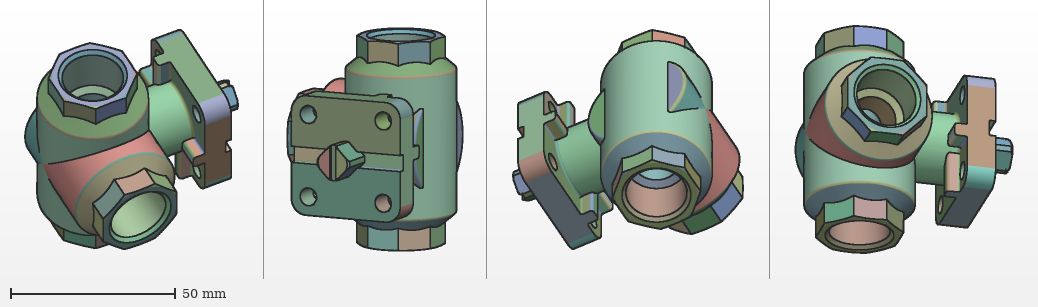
import cadquery as cq
import math

barrel_radius = 17.0
main_half_length = 32.25
branch_length = 32.5
boss_length = 13.0
boss_edge_radius = 1.0
shoulder_start = 22.2
shoulder_angle = 40.0
shoulder_edge_radius = 1.0

octagon_sides = 8
octagon_flats = 25.0
octagon_corner_chamfer = 0.3

bore_diameter = 14.1
thread_diameter = 18.63
thread_depth = 15.0
mouth_diameter = 21.0
drill_half_angle = 59.0

neck_diameter = 22.0
neck_fillet = 0.8
flange_front = 29.0
flange_thickness = 9.0
flange_back = flange_front + flange_thickness
flange_width = 37.0
flange_corner_radius = 5.0
bolt_circle = 36.0
bolt_hole_diameter = 5.5
flange_slot_width = 5.0
flange_slot_depth = 2.0
flange_slot_corner_radius = 0.4

rib_height = 4.0
rib_width = 4.1
rib_tip_radius = 1.0
rib_foot_radius = 0.65
side_rib_offset = 1.7
upright_rib_offset = 7.5
rib_inner_end = 5.5

stem_length = 9.0
stem_square = 9.0
stem_diameter = 11.0
stem_end_chamfer = 0.6
stem_slot_width = 2.0
stem_slot_depth = 1.1

UP = (0, 0, 1)
RIGHT = (1, 0, 0)
DOWN = (0, 0, -1)
BACK = (0, 1, 0)

ports = [
    (UP, main_half_length),
    (DOWN, main_half_length),
    (RIGHT, branch_length),
]


def axis_plane(axis, start=0.0):
    """Plane normal to an axis, placed at a distance along it from the origin."""
    origin = tuple(start * component for component in axis)
    x_direction = UP if axis[0] else RIGHT
    return cq.Plane(origin=origin, xDir=x_direction, normal=axis)


def cylinder(axis, start, end, diameter):
    return cq.Workplane(axis_plane(axis, start)).circle(diameter / 2).extrude(end - start)


def shouldered_barrel(axis):
    """Cylinder from the origin that ends in a cone with a rounded shoulder."""
    cone_end_radius = mouth_diameter / 2
    cone_height = (barrel_radius - cone_end_radius) * math.tan(math.radians(shoulder_angle))
    cone_end = shoulder_start + cone_height
    profile = [
        (0, 0),
        (barrel_radius, 0),
        (barrel_radius, shoulder_start),
        (cone_end_radius, cone_end),
        (0, cone_end),
    ]
    barrel = cq.Workplane("XZ").polyline(profile).close().revolve(360, (0, 0), (0, 1))
    at_shoulder = cq.selectors.NearestToPointSelector((0, 0, shoulder_start))
    barrel = barrel.edges(at_shoulder).fillet(shoulder_edge_radius)
    return barrel.val().moved(cq.Location(axis_plane(axis)))


def octagon_end(axis, length):
    """Octagonal bar with its end corners turned down by a shallow cone."""
    corner_diameter = octagon_flats / math.cos(math.pi / octagon_sides)
    bar = (
        cq.Workplane(axis_plane(axis))
        .transformed(rotate=(0, 0, 180 / octagon_sides))
        .polygon(octagon_sides, corner_diameter)
        .extrude(length)
    )
    chamfer_width = (corner_diameter - octagon_flats) / 2
    turned = (
        cylinder(axis, 0, length, corner_diameter)
        .faces(cq.selectors.DirectionMinMaxSelector(cq.Vector(*axis), True))
        .edges()
        .chamfer(octagon_corner_chamfer, chamfer_width)
    )
    return bar.intersect(turned)


def port_cutter(axis, end):
    """Through bore to the origin, threaded counterbore and countersunk mouth."""
    bore_radius = bore_diameter / 2
    thread_radius = thread_diameter / 2
    mouth_radius = mouth_diameter / 2
    thread_end = end - thread_depth
    drill_tip = (thread_radius - bore_radius) / math.tan(math.radians(drill_half_angle))
    profile = [
        (0, 0),
        (bore_radius, 0),
        (bore_radius, thread_end - drill_tip),
        (thread_radius, thread_end),
        (thread_radius, end - (mouth_radius - thread_radius)),
        (mouth_radius, end),
        (0, end),
    ]
    cutter = cq.Workplane("XZ").polyline(profile).close().revolve(360, (0, 0), (0, 1))
    return cutter.val().moved(cq.Location(axis_plane(axis)))


def make_body():
    boss = cylinder(RIGHT, -boss_length, 0, 2 * barrel_radius)
    body = boss.faces("<X").edges().fillet(boss_edge_radius)
    for axis, length in ports:
        body = body.union(cq.Workplane(shouldered_barrel(axis)))
        body = body.union(octagon_end(axis, length))
    return body


def make_flange():
    flange = (
        cq.Workplane(axis_plane(BACK, flange_front))
        .rect(flange_width, flange_width)
        .extrude(flange_thickness)
        .edges("|Y")
        .fillet(flange_corner_radius)
    )
    slot = (
        cq.Workplane("XY")
        .box(flange_width, 2 * flange_slot_depth, flange_slot_width)
        .edges("|X")
        .fillet(flange_slot_corner_radius)
        .translate((0, flange_back, 0))
    )
    bolt_spacing = bolt_circle / math.sqrt(2)
    holes = (
        cq.Workplane(axis_plane(BACK, flange_front))
        .rect(bolt_spacing, bolt_spacing, forConstruction=True)
        .vertices()
        .circle(bolt_hole_diameter / 2)
        .extrude(flange_thickness)
    )
    return flange.cut(slot).cut(holes)


def rib_along_z(offset):
    """Rib with rounded tip and flared foot, running from the neck to the +Z edge."""
    half = rib_width / 2
    foot = half + rib_foot_radius
    tip = flange_front - rib_height
    foot_diagonal = rib_foot_radius * (1 - math.sqrt(0.5))
    tip_diagonal = rib_tip_radius * (1 - math.sqrt(0.5))
    return (
        cq.Workplane("XY", origin=(offset, 0, rib_inner_end))
        .moveTo(-foot, flange_front)
        .threePointArc(
            (-half - foot_diagonal, flange_front - foot_diagonal),
            (-half, flange_front - rib_foot_radius),
        )
        .lineTo(-half, tip + rib_tip_radius)
        .threePointArc((-half + tip_diagonal, tip + tip_diagonal), (-half + rib_tip_radius, tip))
        .lineTo(half - rib_tip_radius, tip)
        .threePointArc((half - tip_diagonal, tip + tip_diagonal), (half, tip + rib_tip_radius))
        .lineTo(half, flange_front - rib_foot_radius)
        .threePointArc((half + foot_diagonal, flange_front - foot_diagonal), (foot, flange_front))
        .close()
        .extrude(flange_width / 2 - rib_inner_end)
    )


def make_ribs():
    """Two ribs and their copies turned half a turn about the stem axis."""
    upright = rib_along_z(-upright_rib_offset)
    side = rib_along_z(side_rib_offset).rotate((0, 0, 0), BACK, -90)
    pair = upright.union(side)
    return pair.union(pair.rotate((0, 0, 0), BACK, 180))


def make_neck():
    neck = cylinder(BACK, 0, flange_front, neck_diameter)
    flare_radius = neck_diameter / 2 + neck_fillet
    flare = (
        cq.Workplane("XY")
        .moveTo(0, flange_front)
        .lineTo(flare_radius, flange_front)
        .radiusArc((neck_diameter / 2, flange_front - neck_fillet), -neck_fillet)
        .lineTo(0, flange_front - neck_fillet)
        .close()
        .revolve(360, (0, 0), (0, 1))
    )
    return neck.union(flare)


def make_stem():
    start = flange_back - flange_slot_depth
    end = flange_back + stem_length
    square = (
        cq.Workplane(axis_plane(BACK, start))
        .transformed(rotate=(0, 0, 45))
        .rect(stem_square, stem_square)
        .extrude(end - start)
    )
    turned = cylinder(BACK, start, end, stem_diameter).faces(">Y").edges().chamfer(stem_end_chamfer)
    slot = cq.Workplane("XY").box(stem_slot_width, 2 * stem_slot_depth, stem_diameter)
    return square.intersect(turned).cut(slot.translate((0, end, 0)))


result = make_body().union(make_neck()).union(make_flange()).union(make_ribs()).union(make_stem())
for axis, length in ports:
    result = result.cut(cq.Workplane(port_cutter(axis, length)))